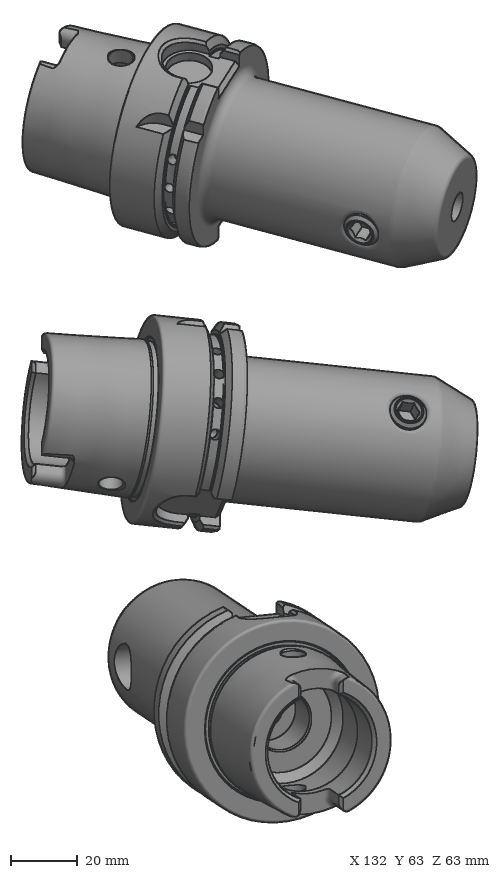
import cadquery as cq
import math


SHANK_LENGTH = 32.0
SHANK_END_RADIUS = 22.7
SHANK_BASE_RADIUS = 23.95
SHANK_END_FILLET = 1.0
UNDERCUT_START = -1.9
UNDERCUT_RADIUS = 23.6
UNDERCUT_RUN = 0.7
FACE_RELIEF_RADIUS = 25.0
FACE_RELIEF_DEPTH = 0.4

FLANGE_RADIUS = 31.5
FLANGE_LENGTH = 26.0
FLANGE_FILLET = 0.9
FLANGE_REAR_CHAMFER_LENGTH = 1.0
FLANGE_REAR_CHAMFER_DROP = 0.3
GROOVE_CENTRE = 18.0
GROOVE_FLOOR_WIDTH = 3.5
GROOVE_CORNER_FILLET = 0.35
GROOVE_FLOOR_RADIUS = 27.5
GROOVE_FLANK_RADIUS = 29.0
GROOVE_TOP_WIDTH = 6.6

BODY_RADIUS = 22.0
BODY_END = 100.0
NECK_FILLET = 3.0
NOSE_LENGTH = 12.6
NOSE_ANGLE = 25.5
NOSE_SHOULDER_FILLET = 2.0
NOSE_TIP_FILLET = 1.5

MOUTH_RADIUS = 16.8
MOUTH_CHAMFER = 1.1
CLAMP_SHOULDER_DEPTH = 13.0
RELIEF_RADIUS = 18.5
RELIEF_ANGLE = 60.0
CAVITY_FLOOR_RADIUS = 15.8
COOLANT_TUBE_RADIUS = 8.9
COOLANT_TUBE_DEPTH = 12.0
COOLANT_TUBE_CHAMFER = 0.5
THROUGH_RADIUS = 4.5

TOP_NOTCH_DEPTH = 6.0
BOTTOM_NOTCH_DEPTH = 10.0
NOTCH_HALF_WIDTH = 6.1
NOTCH_FLARE_RADIUS = 2.7
NOTCH_FLARE_HEIGHT = 18.1
NOTCH_CORNER_RADIUS = 1.5
NOTCH_MOUTH_CHAMFER = 1.1

CROSS_HOLE_X = -9.15
CROSS_HOLE_RADIUS = 3.75
CROSS_HOLE_CHAMFER = 0.4

SLOT_CENTRE_X = 13.0
SLOT_RADIUS = 8.2
SLOT_FLOOR_HEIGHT = 26.5
SLOT_EDGE_CHAMFER = 1.0
SLOT_REAR_CHAMFER = 1.4
RECESS_RADIUS = 7.0
RECESS_DEPTH = 3.0

ORIENT_OFFSET = 20.1
ORIENT_CUTTER_RADIUS = 8.0

GROOVE_HOLE_RADIUS = 1.6
GROOVE_HOLE_DEPTH = 6.0
GROOVE_HOLE_ANGLES = (25.0, 5.0, -15.0, -35.0)
DRILL_POINT_ANGLE = 118.0

SCREW_X = 77.5
SCREW_RADIUS = 5.6
SCREW_LENGTH = 16.0
SCREW_CHAMFER = 1.1
SCREW_HOLE_FILLET = 1.3
HEX_ACROSS_FLATS = 6.0
HEX_DEPTH = 6.0
HEX_LEAD_RADIUS = 4.0
BALANCE_X = 75.3
BALANCE_RADIUS = 7.0
BALANCE_DEPTH = 6.0


def revolve_x(points):
    """Solid of revolution about X from (x, radius) points, closed along the axis."""
    outline = [(points[0][0], 0)] + points + [(points[-1][0], 0)]
    return revolve_ring(outline)


def revolve_ring(outline):
    """Closed (x, radius) outline turned about X."""
    return cq.Workplane("XY").polyline(outline).close().revolve(360, (0, 0), (1, 0))


def cylinder(radius, start, direction, length):
    solid = cq.Solid.makeCylinder(radius, length, cq.Vector(*start), cq.Vector(*direction))
    return cq.Workplane(solid)


def cone(start_radius, end_radius, start, direction, length):
    solid = cq.Solid.makeCone(start_radius, end_radius, length, cq.Vector(*start), cq.Vector(*direction))
    return cq.Workplane(solid)


def shank():
    """Taper with its rounded end and the undercut next to the flange face."""
    taper = revolve_x([
        (-SHANK_LENGTH, SHANK_END_RADIUS),
        (UNDERCUT_START, SHANK_BASE_RADIUS),
        (UNDERCUT_START + UNDERCUT_RUN, UNDERCUT_RADIUS),
        (0, UNDERCUT_RADIUS),
    ])
    return taper.faces("<X").edges().fillet(SHANK_END_FILLET)


def face_relief():
    """Shallow ring in the flange face around the shank undercut."""
    ring = [
        (0, UNDERCUT_RADIUS),
        (FACE_RELIEF_DEPTH, UNDERCUT_RADIUS),
        (FACE_RELIEF_DEPTH, FACE_RELIEF_RADIUS - FACE_RELIEF_DEPTH),
        (0, FACE_RELIEF_RADIUS),
    ]
    return revolve_ring(ring)


def slot_profile(radius, centre_x, centre_y, base_z):
    """Outline of a slot open toward +X with a round end, on a plane normal to Z."""
    end_x = FLANGE_LENGTH + radius
    return (
        cq.Workplane("XY", origin=(centre_x, centre_y, base_z))
        .moveTo(0, -radius)
        .lineTo(end_x - centre_x, -radius)
        .lineTo(end_x - centre_x, radius)
        .lineTo(0, radius)
        .threePointArc((-radius, 0), (0, -radius))
        .close()
    )


def flange():
    """Flange disc with two opposite drive slots and the turned gripping groove."""
    disc = cylinder(FLANGE_RADIUS, (0, 0, 0), (1, 0, 0), FLANGE_LENGTH)
    disc = disc.faces("<X").edges().fillet(FLANGE_FILLET)

    slot = slot_profile(SLOT_RADIUS, SLOT_CENTRE_X, 0, SLOT_FLOOR_HEIGHT).extrude(FLANGE_RADIUS)
    for turn in (0, 180):
        disc = disc.cut(slot.rotate((0, 0, 0), (1, 0, 0), turn))

    slot_end_x = SLOT_CENTRE_X - SLOT_RADIUS
    slot_rim_height = math.sqrt(FLANGE_RADIUS**2 - SLOT_RADIUS**2)
    for low, high in ((slot_rim_height, FLANGE_RADIUS), (-FLANGE_RADIUS, -slot_rim_height)):
        rim = cq.selectors.BoxSelector(
            (slot_end_x, -SLOT_RADIUS - 0.1, low - 0.1), (FLANGE_LENGTH - 0.1, SLOT_RADIUS + 0.1, high + 0.1)
        )
        disc = disc.edges(rim).chamfer(SLOT_EDGE_CHAMFER)
    for side in (1, -1):
        rear_edge = cq.selectors.NearestToPointSelector((FLANGE_LENGTH, 0, side * SLOT_FLOOR_HEIGHT))
        disc = disc.edges(rear_edge).chamfer(SLOT_REAR_CHAMFER)
    return disc.cut(gripping_groove()).cut(rear_chamfer()).cut(face_relief())


def gripping_groove():
    """Trapezoidal ring groove with a straight-walled floor."""
    floor_half = GROOVE_FLOOR_WIDTH / 2
    top_half = GROOVE_TOP_WIDTH / 2
    ring = [
        (GROOVE_CENTRE - top_half, FLANGE_RADIUS),
        (GROOVE_CENTRE - floor_half, GROOVE_FLANK_RADIUS),
        (GROOVE_CENTRE - floor_half, GROOVE_FLOOR_RADIUS),
        (GROOVE_CENTRE + floor_half, GROOVE_FLOOR_RADIUS),
        (GROOVE_CENTRE + floor_half, GROOVE_FLANK_RADIUS),
        (GROOVE_CENTRE + top_half, FLANGE_RADIUS),
        (GROOVE_CENTRE + top_half, 2 * FLANGE_RADIUS),
        (GROOVE_CENTRE - top_half, 2 * FLANGE_RADIUS),
    ]
    groove = revolve_ring(ring)
    floor_edges = cq.selectors.RadiusNthSelector(0)
    return groove.edges(floor_edges).fillet(GROOVE_CORNER_FILLET)


def rear_chamfer():
    """Ring that eases the rear rim of the flange."""
    start_x = FLANGE_LENGTH - FLANGE_REAR_CHAMFER_LENGTH
    return revolve_ring([
        (start_x, FLANGE_RADIUS),
        (FLANGE_LENGTH, FLANGE_RADIUS - FLANGE_REAR_CHAMFER_DROP),
        (FLANGE_LENGTH, 2 * FLANGE_RADIUS),
        (start_x, 2 * FLANGE_RADIUS),
    ])


def tool_body():
    """Cylindrical body with a hollow neck fillet at the flange and a tapered nose."""
    nose_tip_radius = BODY_RADIUS - NOSE_LENGTH * math.tan(math.radians(NOSE_ANGLE))
    nose_start = BODY_END - NOSE_LENGTH
    body = (
        cq.Workplane("XY")
        .moveTo(FLANGE_LENGTH, 0)
        .lineTo(FLANGE_LENGTH, BODY_RADIUS + NECK_FILLET)
        .radiusArc((FLANGE_LENGTH + NECK_FILLET, BODY_RADIUS), -NECK_FILLET)
        .lineTo(nose_start, BODY_RADIUS)
        .lineTo(BODY_END, nose_tip_radius)
        .lineTo(BODY_END, 0)
        .close()
        .revolve(360, (0, 0), (1, 0))
    )
    body = body.faces(">X").edges().fillet(NOSE_TIP_FILLET)
    shoulder = cq.selectors.NearestToPointSelector((nose_start, 0, 0))
    return body.edges(shoulder).fillet(NOSE_SHOULDER_FILLET)


def shank_cavity():
    """Clamping bore with its inner relief, the coolant tube seat and the through bore."""
    shoulder_x = CLAMP_SHOULDER_DEPTH - SHANK_LENGTH
    relief_x = shoulder_x + (RELIEF_RADIUS - MOUTH_RADIUS) / math.tan(math.radians(RELIEF_ANGLE))
    floor_step = RELIEF_RADIUS - CAVITY_FLOOR_RADIUS
    return revolve_x([
        (-SHANK_LENGTH, MOUTH_RADIUS + MOUTH_CHAMFER),
        (-SHANK_LENGTH + MOUTH_CHAMFER, MOUTH_RADIUS),
        (shoulder_x, MOUTH_RADIUS),
        (relief_x, RELIEF_RADIUS),
        (-floor_step, RELIEF_RADIUS),
        (0, CAVITY_FLOOR_RADIUS),
        (0, COOLANT_TUBE_RADIUS + COOLANT_TUBE_CHAMFER),
        (COOLANT_TUBE_CHAMFER, COOLANT_TUBE_RADIUS),
        (COOLANT_TUBE_DEPTH, COOLANT_TUBE_RADIUS),
        (COOLANT_TUBE_DEPTH, THROUGH_RADIUS),
        (BODY_END, THROUGH_RADIUS),
    ])


def drive_notch(depth):
    """Cutter for a notch in the shank end on the +Z side, with flared and rounded walls."""
    flare_y = NOTCH_HALF_WIDTH + NOTCH_FLARE_RADIUS
    flare_z = NOTCH_FLARE_HEIGHT + NOTCH_FLARE_RADIUS
    outer_y = flare_y + NOTCH_FLARE_RADIUS
    outer_z = SHANK_BASE_RADIUS + NOTCH_FLARE_RADIUS
    floor_x = -SHANK_LENGTH + depth
    cutter = (
        cq.Workplane("YZ", origin=(-SHANK_LENGTH, 0, 0))
        .moveTo(-NOTCH_HALF_WIDTH, 0)
        .lineTo(NOTCH_HALF_WIDTH, 0)
        .lineTo(NOTCH_HALF_WIDTH, NOTCH_FLARE_HEIGHT)
        .radiusArc((flare_y, flare_z), NOTCH_FLARE_RADIUS)
        .lineTo(outer_y, flare_z)
        .lineTo(outer_y, outer_z)
        .lineTo(-outer_y, outer_z)
        .lineTo(-outer_y, flare_z)
        .lineTo(-flare_y, flare_z)
        .radiusArc((-NOTCH_HALF_WIDTH, NOTCH_FLARE_HEIGHT), NOTCH_FLARE_RADIUS)
        .close()
        .extrude(depth)
    )
    wall_ends = cq.selectors.BoxSelector(
        (floor_x - 0.1, -outer_y + 0.1, 0.1), (floor_x + 0.1, outer_y - 0.1, flare_z + 0.1)
    )
    cutter = cutter.edges(wall_ends).fillet(NOTCH_CORNER_RADIUS)

    mouth_half = NOTCH_HALF_WIDTH + NOTCH_MOUTH_CHAMFER
    flare_drop = math.sqrt(NOTCH_FLARE_RADIUS**2 - (NOTCH_FLARE_RADIUS - NOTCH_MOUTH_CHAMFER) ** 2)
    mouth = (
        cq.Workplane("XY")
        .moveTo(-SHANK_LENGTH, -mouth_half)
        .lineTo(-SHANK_LENGTH, mouth_half)
        .lineTo(-SHANK_LENGTH + NOTCH_MOUTH_CHAMFER, NOTCH_HALF_WIDTH)
        .lineTo(-SHANK_LENGTH + NOTCH_MOUTH_CHAMFER, -NOTCH_HALF_WIDTH)
        .close()
        .extrude(NOTCH_FLARE_HEIGHT + flare_drop)
    )
    return cutter.union(mouth)


def cross_hole(side):
    """Hole through one shank wall along Z, chamfered where it leaves the taper."""
    taper = (SHANK_BASE_RADIUS - SHANK_END_RADIUS) / (SHANK_LENGTH + UNDERCUT_START)
    wall_radius = SHANK_BASE_RADIUS - taper * (UNDERCUT_START - CROSS_HOLE_X)
    chamfer_z = wall_radius - CROSS_HOLE_CHAMFER
    chamfer_height = 2 * CROSS_HOLE_CHAMFER
    profile = [
        (0, 0),
        (CROSS_HOLE_RADIUS, 0),
        (CROSS_HOLE_RADIUS, chamfer_z),
        (CROSS_HOLE_RADIUS + chamfer_height, chamfer_z + chamfer_height),
        (0, chamfer_z + chamfer_height),
    ]
    hole = (
        cq.Workplane("XZ", origin=(CROSS_HOLE_X, 0, 0))
        .polyline(profile)
        .close()
        .revolve(360, (0, 0), (0, 1))
    )
    return hole.rotate((0, 0, 0), (1, 0, 0), 0 if side > 0 else 180)


def groove_hole(angle):
    """Drilled hole in the groove floor, turned up from -Y by the angle."""
    direction = (0, -math.cos(math.radians(angle)), math.sin(math.radians(angle)))
    inward = tuple(-part for part in direction)
    bottom_radius = GROOVE_FLOOR_RADIUS - GROOVE_HOLE_DEPTH
    bottom = (GROOVE_CENTRE, bottom_radius * direction[1], bottom_radius * direction[2])
    point_length = GROOVE_HOLE_RADIUS / math.tan(math.radians(DRILL_POINT_ANGLE / 2))
    drilled = cylinder(GROOVE_HOLE_RADIUS, bottom, direction, GROOVE_HOLE_DEPTH + 1)
    return drilled.union(cone(GROOVE_HOLE_RADIUS, 0, bottom, inward, point_length))


def orientation_notch():
    """Corner notch on the -Y, +Z side of the flange with a cutter-round end."""
    centre_y = -ORIENT_OFFSET - ORIENT_CUTTER_RADIUS
    profile = slot_profile(ORIENT_CUTTER_RADIUS, SLOT_CENTRE_X, centre_y, ORIENT_OFFSET)
    return profile.extrude(FLANGE_RADIUS)


def holder():
    solid = shank().union(flange()).union(tool_body())

    solid = solid.cut(cylinder(SCREW_RADIUS, (SCREW_X, 0, 0), (0, -1, 0), 2 * BODY_RADIUS))
    screw_rim = cq.selectors.BoxSelector(
        (SCREW_X - SCREW_RADIUS, -BODY_RADIUS, -SCREW_RADIUS),
        (SCREW_X + SCREW_RADIUS, SCREW_RADIUS - BODY_RADIUS, SCREW_RADIUS),
    )
    solid = solid.edges(screw_rim).edges("not %LINE").fillet(SCREW_HOLE_FILLET)

    for side in (1, -1):
        solid = solid.cut(cross_hole(side))
    solid = solid.cut(shank_cavity())
    solid = solid.cut(drive_notch(TOP_NOTCH_DEPTH))
    solid = solid.cut(drive_notch(BOTTOM_NOTCH_DEPTH).rotate((0, 0, 0), (1, 0, 0), 180))
    recess_start = (SLOT_CENTRE_X, 0, SLOT_FLOOR_HEIGHT - RECESS_DEPTH)
    solid = solid.cut(cylinder(RECESS_RADIUS, recess_start, (0, 0, 1), 2 * RECESS_DEPTH))
    solid = solid.cut(orientation_notch())
    for angle in GROOVE_HOLE_ANGLES:
        solid = solid.cut(groove_hole(angle))
    balance_start = (BALANCE_X, BODY_RADIUS - BALANCE_DEPTH, 0)
    return solid.cut(cylinder(BALANCE_RADIUS, balance_start, (0, 1, 0), 2 * BALANCE_DEPTH))


def clamping_screw():
    """Set screw with a chamfered outer end and a hexagon socket facing -Y."""
    screw = cylinder(SCREW_RADIUS, (SCREW_X, -BODY_RADIUS, 0), (0, 1, 0), SCREW_LENGTH)
    screw = screw.faces("<Y").chamfer(SCREW_CHAMFER)
    hex_corners = HEX_ACROSS_FLATS / math.cos(math.radians(30))
    socket = (
        cq.Workplane("XZ", origin=(SCREW_X, -BODY_RADIUS, 0))
        .polygon(6, hex_corners)
        .extrude(-HEX_DEPTH)
    )
    lead_in = cone(HEX_LEAD_RADIUS, 0, (SCREW_X, -BODY_RADIUS, 0), (0, 1, 0), HEX_LEAD_RADIUS)
    return screw.cut(socket).cut(lead_in)


result = cq.Compound.makeCompound([holder().val(), clamping_screw().val()])